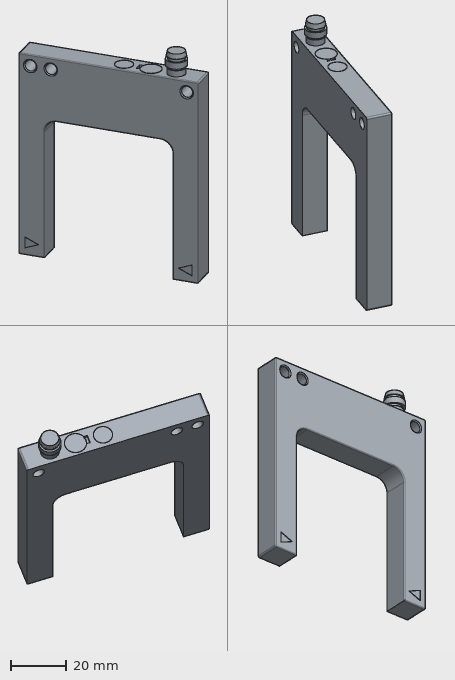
import cadquery as cq

WIDTH = 70.0
DEPTH = 10.0
TOTAL_HEIGHT = 89.0
PLUG_HEIGHT = 9.0
HOUSING_HEIGHT = TOTAL_HEIGHT - PLUG_HEIGHT
ARM_WIDTH = DEPTH
SLOT_WIDTH = WIDTH - 2 * ARM_WIDTH
SLOT_HEIGHT = 55.0
SLOT_RADIUS = 5.0

CORNER_RADIUS = 0.6
FRONT_EDGE_RADIUS = 0.4

HOLE_DIAMETER = 4.4
HOLE_CHAMFER = 0.45
HOLE_INSET = 4.5
HOLE_PITCH = 8.0

PLUG_X = 24.5
PLUG_STEPS = [(6.9, 2.4), (6.4, 0.9), (8.1, 2.5), (6.5, 1.25)]
PLUG_HEAD_BASE_DIAMETER = 7.5
PLUG_HEAD_TOP_DIAMETER = 6.6

MARK_DEPTH = 0.1
ARROW_LENGTH = 5.25
ARROW_WIDTH = 4.3
ARROW_INSET = 2.5
ARROW_Z = 4.9
LAMP_X = 4.1
LAMP_DIAMETER = 6.9
DIAL_X = 14.6
DIAL_DIAMETER = 8.0
NOTCH_LENGTH = 1.1
NOTCH_WIDTH = 3.1
NOTCH_DEPTH = 1.0

FRONT_Y = -DEPTH / 2
BACK_Y = DEPTH / 2


def make_housing():
    """Fork block with a rounded slot and rounded outer corners and front edges."""
    block = cq.Workplane("XY").box(WIDTH, DEPTH, HOUSING_HEIGHT, centered=(True, True, False))
    block = block.edges("|Y").fillet(CORNER_RADIUS)
    slot = (
        cq.Workplane("XY")
        .box(SLOT_WIDTH, DEPTH, SLOT_HEIGHT, centered=(True, True, False))
        .faces(">Z")
        .edges("|Y")
        .fillet(SLOT_RADIUS)
    )
    return block.cut(slot).faces("<Y").edges().fillet(FRONT_EDGE_RADIUS)


def make_hole(x):
    """Through hole with a chamfered rim on the front face."""
    bore = HOLE_DIAMETER / 2
    rim = bore + HOLE_CHAMFER
    return (
        cq.Workplane("XY")
        .polyline([
            (0, FRONT_Y),
            (rim, FRONT_Y),
            (bore, FRONT_Y + HOLE_CHAMFER),
            (bore, BACK_Y),
            (0, BACK_Y),
        ])
        .close()
        .revolve(360, (0, 0, 0), (0, 1, 0))
        .translate((x, 0, HOUSING_HEIGHT - HOLE_INSET))
    )


def make_plug():
    """Stepped round plug with a tapered head."""
    profile = [(0, HOUSING_HEIGHT)]
    z = HOUSING_HEIGHT
    for diameter, height in PLUG_STEPS:
        profile.append((diameter / 2, z))
        z += height
        profile.append((diameter / 2, z))
    profile.append((PLUG_HEAD_BASE_DIAMETER / 2, z))
    profile.append((PLUG_HEAD_TOP_DIAMETER / 2, TOTAL_HEIGHT))
    profile.append((0, TOTAL_HEIGHT))
    plug = cq.Workplane("XZ").polyline(profile).close().revolve(360, (0, 0, 0), (0, 1, 0))
    return plug.translate((PLUG_X, 0, 0))


def make_arrow(side):
    """Triangular mark on one arm (side -1 or 1), pointing toward the slot."""
    base_x = side * (WIDTH / 2 - ARROW_INSET)
    tip_x = base_x - side * ARROW_LENGTH
    return (
        cq.Workplane("XZ", origin=(0, FRONT_Y, 0))
        .polyline([
            (base_x, ARROW_Z - ARROW_WIDTH / 2),
            (base_x, ARROW_Z + ARROW_WIDTH / 2),
            (tip_x, ARROW_Z),
        ])
        .close()
        .extrude(-MARK_DEPTH)
    )


def make_top_marks():
    """Round lamp window and a round dial with a deeper rectangular notch on its left."""
    top = cq.Workplane("XY", origin=(0, 0, HOUSING_HEIGHT))
    lamp = top.center(LAMP_X, 0).circle(LAMP_DIAMETER / 2).extrude(-MARK_DEPTH)
    dial = top.center(DIAL_X, 0).circle(DIAL_DIAMETER / 2).extrude(-MARK_DEPTH)
    notch = (
        top.center(DIAL_X - DIAL_DIAMETER / 2, 0)
        .rect(2 * NOTCH_LENGTH, NOTCH_WIDTH)
        .extrude(-NOTCH_DEPTH)
        .cut(top.center(DIAL_X, 0).circle(DIAL_DIAMETER / 2).extrude(-NOTCH_DEPTH))
    )
    return lamp.union(dial).union(notch)


result = make_housing().union(make_plug())
left_hole_x = HOLE_INSET - WIDTH / 2
for hole_x in (left_hole_x, left_hole_x + HOLE_PITCH, -left_hole_x):
    result = result.cut(make_hole(hole_x))
for arm_side in (-1, 1):
    result = result.cut(make_arrow(arm_side))
result = result.cut(make_top_marks())